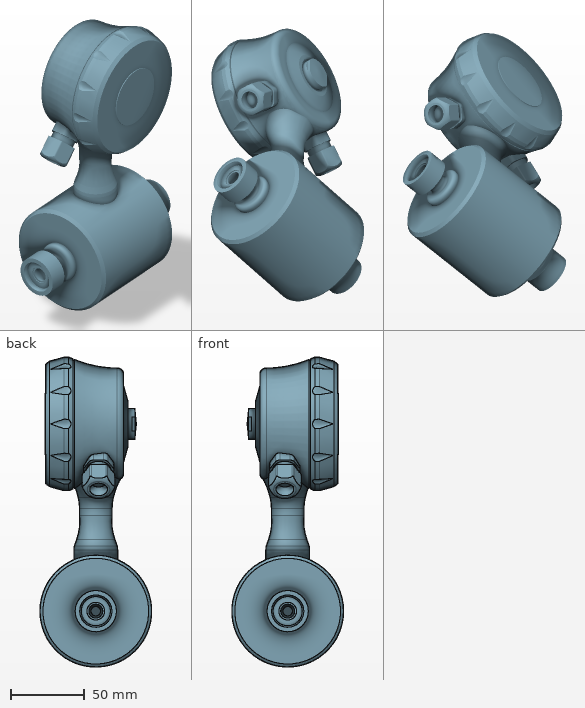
import cadquery as cq
import math

body_diameter = 76.1
body_length = 76.1
body_chamfer = 2.1

overall_length = 128.0
hub_diameter = 28.0
hub_length = 4.6
hub_rounding = 2.5
pipe_diameter = 13.0
pipe_root_fillet = 1.7
union_diameter = 28.0
union_length = 12.7
socket_mouth_diameter = 22.0
socket_floor_diameter = 19.8
socket_depth = 3.2
bore_diameter = 9.5
bore_mouth_diameter = 12.0
bore_mouth_depth = 0.6
bore_depth = 25.3
bore_tip_diameter = 5.7
bore_tip_length = 12.7

neck_base_diameter = 30.0
neck_waist_diameter = 22.4
neck_base_top = 41.8
neck_cone_bottom = 44.3
neck_cone_bottom_diameter = 29.3
neck_cone_top = 48.7
neck_cone_top_diameter = 26.1
neck_waist_bottom = 65.2
neck_waist_top = 69.8
neck_flare_start = 77.4
neck_flare_start_diameter = 24.0
neck_flare_top = 91.7
neck_flare_top_diameter = 35.8

head_height = 127.4
housing_back_x = -19.0
housing_back_rounding = 4.5
housing_back_diameter = 76.1
housing_front_x = 14.5
housing_front_diameter = 88.0
housing_middle_x = 1.7
housing_middle_diameter = 79.7
dish_diameter = 51.7
seat_diameter = 30.8
seat_x = -22.0
seam_width = 1.0
seam_depth = 0.6

lid_diameter = 91.0
lid_shoulder_x = 18.5
lid_shoulder_length = 3.0
lid_back_diameter = 88.5
lid_rim_x = 31.6
lid_rim_diameter = 85.2
lid_front_x = 34.2
lid_front_diameter = 81.2
window_diameter = 41.3
window_height = 0.53

plug_diameter = 21.0
plug_x = -26.5
plug_crown_height = 1.0
plug_flats_width = 18.8
plug_flats_depth = 2.0
plug_recess_diameter = 24.3
plug_recess_depth = 0.6

notch_count = 12
notch_floor_angle = 8
notch_half_angle = 25
notch_cone_length = 19.0
notch_tip_setback = 0.2

gland_x = -2.0
gland_angle = 45
gland_root = 25.3
collar_hex_flats = 19.0
collar_hex_rounding = 3.5
collar_hex_end = 44.3
sleeve_diameter = 16.7
nut_start = 48.7
nut_end = 63.0
nut_flats = 19.6
nut_rounding = 1.3
nut_crown_length = 4.5
gland_hole_diameter = 12.0
gland_hole_depth = 8.5


def revolve_about_x(profile):
    """Revolve an (x, radius) outline about the X axis."""
    return profile.close().revolve(360, (0, 0, 0), (1, 0, 0))


def measuring_body():
    end_plane = cq.Workplane("XZ", origin=(0, body_length / 2, 0))
    cylinder = end_plane.circle(body_diameter / 2).extrude(body_length)
    return cylinder.faces("<Y or >Y").chamfer(body_chamfer)


def pipe_end():
    """Hub, pipe and union on the -Y face of the body."""
    body_face = body_length / 2
    end = overall_length / 2
    hub_end = body_face + hub_length
    union_start = end - union_length
    pipe_radius = pipe_diameter / 2
    fillet_rim = pipe_radius + pipe_root_fillet
    bend = pipe_root_fillet * (1 - math.sqrt(0.5))
    outside = (
        cq.Workplane("XY")
        .moveTo(0, -body_face)
        .lineTo(hub_diameter / 2, -body_face)
        .lineTo(hub_diameter / 2, hub_rounding - hub_end)
        .radiusArc((hub_diameter / 2 - hub_rounding, -hub_end), hub_rounding)
        .lineTo(fillet_rim, -hub_end)
        .threePointArc((pipe_radius + bend, -hub_end - bend), (pipe_radius, -hub_end - pipe_root_fillet))
        .lineTo(pipe_radius, pipe_root_fillet - union_start)
        .threePointArc((pipe_radius + bend, bend - union_start), (fillet_rim, -union_start))
        .lineTo(union_diameter / 2, -union_start)
        .lineTo(union_diameter / 2, -end)
        .lineTo(0, -end)
        .close()
        .revolve(360, (0, 0, 0), (0, 1, 0))
    )
    floor = socket_depth - end
    tip = floor + bore_depth
    opening = (
        cq.Workplane("XY")
        .moveTo(0, -end)
        .lineTo(socket_mouth_diameter / 2, -end)
        .lineTo(socket_floor_diameter / 2, floor)
        .lineTo(bore_mouth_diameter / 2, floor)
        .lineTo(bore_mouth_diameter / 2, floor + bore_mouth_depth)
        .lineTo(bore_diameter / 2, floor + bore_mouth_depth)
        .lineTo(bore_diameter / 2, tip - bore_tip_length)
        .lineTo(bore_tip_diameter / 2, tip)
        .lineTo(0, tip)
        .close()
        .revolve(360, (0, 0, 0), (0, 1, 0))
    )
    return outside.cut(opening)


def neck():
    waist = neck_waist_diameter / 2
    return (
        cq.Workplane("XZ")
        .moveTo(0, 0)
        .lineTo(neck_base_diameter / 2, 0)
        .lineTo(neck_base_diameter / 2, neck_base_top)
        .tangentArcPoint((neck_cone_bottom_diameter / 2, neck_cone_bottom), relative=False)
        .lineTo(neck_cone_top_diameter / 2, neck_cone_top)
        .tangentArcPoint((waist, neck_waist_bottom), relative=False)
        .lineTo(waist, neck_waist_top)
        .tangentArcPoint((neck_flare_start_diameter / 2, neck_flare_start), relative=False)
        .tangentArcPoint((neck_flare_top_diameter / 2, neck_flare_top), relative=False)
        .lineTo(neck_flare_top_diameter / 2, head_height - dish_diameter / 2)
        .lineTo(0, head_height - dish_diameter / 2)
        .close()
        .revolve(360, (0, 0, 0), (0, 1, 0))
    )


def housing_and_lid():
    back_radius = housing_back_diameter / 2
    front_radius = housing_front_diameter / 2
    corner = housing_back_rounding * (1 - math.sqrt(0.5))
    seam_end = housing_front_x + seam_width
    recess_floor = seat_x + plug_recess_depth
    shoulder_end = lid_shoulder_x + lid_shoulder_length
    outline = (
        cq.Workplane("XY")
        .moveTo(recess_floor, 0)
        .lineTo(recess_floor, plug_recess_diameter / 2)
        .lineTo(seat_x, plug_recess_diameter / 2)
        .lineTo(seat_x, seat_diameter / 2)
        .lineTo(housing_back_x, dish_diameter / 2)
        .lineTo(housing_back_x, back_radius - housing_back_rounding)
        .threePointArc(
            (housing_back_x + corner, back_radius - corner),
            (housing_back_x + housing_back_rounding, back_radius),
        )
        .threePointArc((housing_middle_x, housing_middle_diameter / 2), (housing_front_x, front_radius))
        .lineTo(housing_front_x, front_radius - seam_depth)
        .lineTo(seam_end, front_radius - seam_depth)
        .lineTo(seam_end, lid_back_diameter / 2)
        .lineTo(lid_shoulder_x, lid_diameter / 2)
        .lineTo(shoulder_end, lid_diameter / 2)
        .lineTo(lid_rim_x, lid_rim_diameter / 2)
        .lineTo(lid_front_x, lid_front_diameter / 2)
        .lineTo(lid_front_x, window_diameter / 2)
        .lineTo(lid_front_x + window_height, window_diameter / 2)
        .lineTo(lid_front_x + window_height, 0)
    )
    head = revolve_about_x(outline)
    notch = grip_notch()
    for i in range(notch_count):
        head = head.cut(notch.rotate((0, 0, 0), (1, 0, 0), i * 360 / notch_count))
    return head


def grip_notch():
    """Teardrop cutter: a cone with its tip on the lid rim, leaning outwards away from the rim."""
    tip = cq.Vector(lid_rim_x - notch_tip_setback, lid_rim_diameter / 2 + notch_tip_setback, 0)
    lean = math.radians(notch_floor_angle + notch_half_angle)
    axis = cq.Vector(-math.cos(lean), math.sin(lean), 0)
    mouth_radius = notch_cone_length * math.tan(math.radians(notch_half_angle))
    mouth_centre = tip + axis * notch_cone_length
    return cq.Workplane(cq.Solid.makeCone(mouth_radius, 0, notch_cone_length, mouth_centre, axis * -1))


def vent_plug():
    recess_floor = seat_x + plug_recess_depth
    outline = (
        cq.Workplane("XY")
        .moveTo(recess_floor, 0)
        .lineTo(recess_floor, plug_diameter / 2)
        .lineTo(plug_x, plug_diameter / 2)
        .lineTo(plug_x - plug_crown_height, 0)
    )
    plug = revolve_about_x(outline)
    for side in (1, -1):
        flat = cq.Workplane("XY").box(2 * plug_flats_depth, plug_diameter, plug_diameter)
        plug = plug.cut(flat.translate((plug_x, side * (plug_flats_width + plug_diameter) / 2, 0)))
    return plug


def hexagon_prism(flats, rounding, start, end):
    """Hexagon along Z with corners on the X axis and rounded long edges."""
    across_corners = flats / math.cos(math.pi / 6)
    prism = cq.Workplane("XY", origin=(0, 0, start)).polygon(6, across_corners).extrude(end - start)
    return prism.edges("|Z").fillet(rounding)


def cable_gland():
    """Gland along +Z, measured from the head axis."""
    collar = hexagon_prism(collar_hex_flats, collar_hex_rounding, gland_root, collar_hex_end)
    sleeve = (
        cq.Workplane("XY", origin=(0, 0, collar_hex_end))
        .circle(sleeve_diameter / 2)
        .extrude(nut_start - collar_hex_end)
    )
    nut = hexagon_prism(nut_flats, nut_rounding, nut_start, nut_end)
    crown_radius = nut_flats / math.sqrt(3)
    crown_start = nut_end - nut_crown_length
    crown = (
        cq.Workplane("XZ")
        .moveTo(0, nut_start)
        .lineTo(crown_radius, nut_start)
        .lineTo(crown_radius, crown_start)
        .tangentArcPoint((gland_hole_diameter / 2, nut_end), relative=False)
        .lineTo(0, nut_end)
        .close()
        .revolve(360, (0, 0, 0), (0, 1, 0))
    )
    hole = (
        cq.Workplane("XY", origin=(0, 0, nut_end))
        .circle(gland_hole_diameter / 2)
        .extrude(-gland_hole_depth)
    )
    return collar.union(sleeve).union(nut.intersect(crown)).cut(hole)


head_centre = (0, 0, head_height)
result = measuring_body().union(neck())
result = result.union(housing_and_lid().translate(head_centre))
result = result.union(vent_plug().translate(head_centre))

end_fitting = pipe_end()
result = result.union(end_fitting).union(end_fitting.mirror("XZ"))

for side in (1, -1):
    gland = cable_gland().rotate((0, 0, 0), (1, 0, 0), side * (180 - gland_angle))
    result = result.union(gland.translate((gland_x, 0, head_height)))